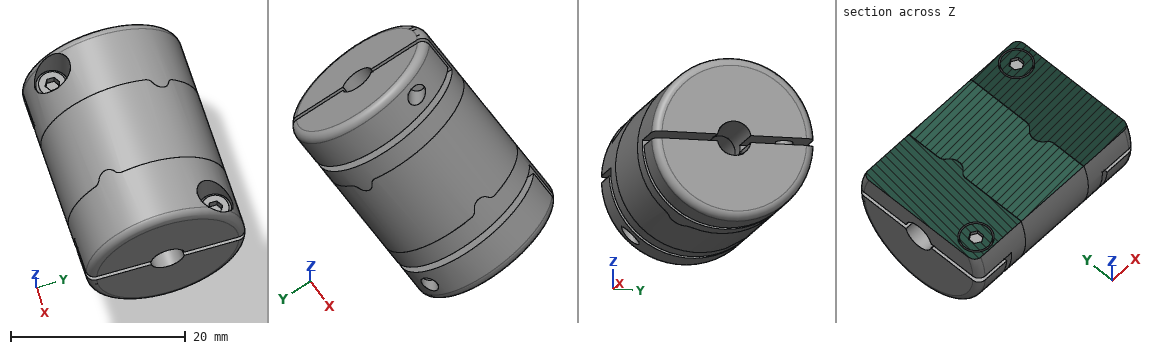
import cadquery as cq
import math

length = 26.0
outer_diameter = 19.0
bore_diameter = 4.0
end_fillet = 1.0
outer_radius = outer_diameter / 2
half_length = length / 2

hub_length = 7.75
sleeve_length = length - 2 * hub_length

tongue_height = 1.12
tongue_tip_diameter = 2.5
tongue_root_radius = 0.9
tongue_angles = (30, 150)

slit_width = 0.8
jaw_length = 4.6

screw_end_distance = 2.65
screw_offset = 6.5
shank_diameter = 2.0
head_diameter = 3.8
head_height = 2.0
head_chamfer = 0.3
head_top_z = 4.0
screw_length = 6.0
socket_flats = 1.5
socket_depth = 1.0
counterbore_diameter = 4.1

hub_start = -half_length
hub_face = hub_start + hub_length
screw_x = hub_start + screw_end_distance
screw_y = -screw_offset
head_seat_z = head_top_z - head_height


def cylinder_along_x(diameter, start, size):
    return cq.Workplane("YZ").workplane(offset=start).circle(diameter / 2).extrude(size)


def screw_plane(z):
    """Level workplane centred on the left-hand screw."""
    return cq.Workplane("XY", origin=(screw_x, screw_y, z))


def tongue(angle):
    """Rounded tongue on the hub face: a tip arc blended into the face by two root arcs."""
    tip_radius = tongue_tip_diameter / 2
    tip_centre = tongue_height - tip_radius
    blend = tip_radius + tongue_root_radius
    half_width = math.sqrt(blend**2 - (tongue_root_radius - tip_centre) ** 2)
    across = half_width / blend
    along = (tongue_root_radius - tip_centre) / blend
    joint_x = hub_face + tip_centre + tip_radius * along
    joint_y = tip_radius * across
    root_half_angle = math.atan2(across, along) / 2
    root_x = hub_face + tongue_root_radius * (1 - math.cos(root_half_angle))
    root_y = half_width - tongue_root_radius * math.sin(root_half_angle)
    profile = (
        cq.Workplane("XY")
        .moveTo(hub_face, half_width)
        .threePointArc((root_x, root_y), (joint_x, joint_y))
        .threePointArc((hub_face + tongue_height, 0), (joint_x, -joint_y))
        .threePointArc((root_x, -root_y), (hub_face, -half_width))
        .lineTo(hub_face - tongue_height, -half_width)
        .lineTo(hub_face - tongue_height, half_width)
        .close()
    )
    return profile.extrude(outer_radius).rotate((0, 0, 0), (1, 0, 0), -angle)


def hub_blank():
    blank = cylinder_along_x(outer_diameter, hub_start, hub_length)
    blank = blank.faces("<X").edges().fillet(end_fillet)
    tongues = tongue(tongue_angles[0])
    for angle in tongue_angles[1:]:
        tongues = tongues.union(tongue(angle))
    envelope = cylinder_along_x(outer_diameter, hub_start, length)
    bore = cylinder_along_x(bore_diameter, hub_start, length)
    return blank.union(tongues.intersect(envelope)).cut(bore)


def clamp_slit():
    """Level slit from the end face, turning down behind the jaw."""
    slit_length = jaw_length + slit_width
    slit_top = slit_width / 2
    level = (
        cq.Workplane("XY", origin=(hub_start, 0, -slit_top))
        .box(slit_length, outer_diameter, slit_width, centered=(False, True, False))
    )
    upright = (
        cq.Workplane("XY", origin=(hub_start + jaw_length, 0, -outer_radius))
        .box(slit_width, outer_diameter, outer_radius + slit_top, centered=(False, True, False))
    )
    return level.union(upright)


def screw_head():
    head = screw_plane(head_seat_z).circle(head_diameter / 2).extrude(head_height)
    head = head.faces(">Z").edges().chamfer(head_chamfer)
    socket_corners = socket_flats / math.cos(math.pi / 6)
    socket = (
        screw_plane(head_top_z)
        .transformed(rotate=(0, 0, 90))
        .polygon(6, socket_corners)
        .extrude(-socket_depth)
    )
    return head.cut(socket)


def make_hub():
    """Left-hand hub with its clamp jaw and the screw that joins them."""
    counterbore = screw_plane(head_seat_z).circle(counterbore_diameter / 2).extrude(outer_radius)
    thread_hole = screw_plane(head_seat_z - screw_length).circle(shank_diameter / 2).extrude(-outer_radius)
    shank = screw_plane(head_seat_z).circle(shank_diameter / 2).extrude(-screw_length)
    hub = hub_blank().cut(clamp_slit()).cut(counterbore).cut(thread_hole)
    return hub.union(shank).union(screw_head())


def make_sleeve(fitted_hubs):
    """Elastic sleeve between the hubs, recessed for their tongues."""
    sleeve = cylinder_along_x(outer_diameter, -sleeve_length / 2, sleeve_length)
    sleeve = sleeve.cut(cylinder_along_x(bore_diameter, -sleeve_length / 2, sleeve_length))
    for hub in fitted_hubs:
        sleeve = sleeve.cut(hub)
    return sleeve


hubs = [make_hub().rotate((0, 0, 0), (0, 0, 1), turn) for turn in (0, 180)]
sleeve = make_sleeve(hubs)

result = cq.Compound.makeCompound([sleeve.val(), *[hub.val() for hub in hubs]])